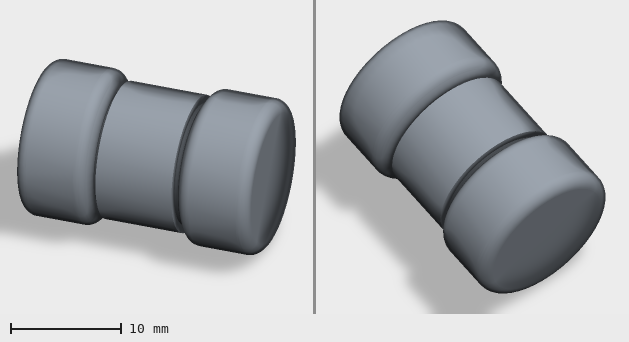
import cadquery as cq
import math

LENGTH = 22.23
CAP_RADIUS = 14.38 / 2
BARREL_RADIUS = 12.7 / 2
NECK_RADIUS = 11.18 / 2

CAP_LENGTH = 7.1
BARREL_LENGTH = 7.25

EDGE_RADIUS = 1.11
BAND_LENGTH = 4.5
TAPER_ANGLE = 60.0


def make_rod(radius, length):
    """Plain cylinder along X, centred on the origin."""
    return cq.Workplane("YZ", origin=(-length / 2, 0, 0)).circle(radius).extrude(length)


def make_core():
    """Barrel with a thinner neck at each end, reaching the caps."""
    core_length = LENGTH - 2 * CAP_LENGTH
    neck = make_rod(NECK_RADIUS, core_length)
    barrel = make_rod(BARREL_RADIUS, BARREL_LENGTH)
    return neck.union(barrel)


def arc_point(center_x, center_radius, angle):
    """Point on a rim rounding, at an angle in degrees from the +X direction."""
    turn = math.radians(angle)
    return (
        center_x + EDGE_RADIUS * math.cos(turn),
        center_radius + EDGE_RADIUS * math.sin(turn),
    )


def make_left_cap():
    """Solid cap with a rounded outer rim and a rounded, tapered inner rim."""
    outer_x = -LENGTH / 2
    inner_x = outer_x + CAP_LENGTH
    rim_start_x = outer_x + EDGE_RADIUS
    rim_end_x = rim_start_x + BAND_LENGTH
    center_radius = CAP_RADIUS - EDGE_RADIUS

    taper_start_angle = 90 - TAPER_ANGLE
    taper_x, taper_radius = arc_point(rim_end_x, center_radius, taper_start_angle)
    taper_drop = (inner_x - taper_x) * math.tan(math.radians(TAPER_ANGLE))

    profile = (
        cq.Workplane("XY")
        .moveTo(outer_x, 0)
        .lineTo(outer_x, center_radius)
        .threePointArc(arc_point(rim_start_x, center_radius, 135), (rim_start_x, CAP_RADIUS))
        .lineTo(rim_end_x, CAP_RADIUS)
        .threePointArc(
            arc_point(rim_end_x, center_radius, (90 + taper_start_angle) / 2),
            (taper_x, taper_radius),
        )
        .lineTo(inner_x, taper_radius - taper_drop)
        .lineTo(inner_x, 0)
        .close()
    )
    return profile.revolve(360, (0, 0, 0), (1, 0, 0))


core = make_core()

caps = [make_left_cap().rotate((0, 0, 0), (0, 0, 1), turn) for turn in (0, 180)]

result = cq.Compound.makeCompound([core.val(), *[cap.val() for cap in caps]])